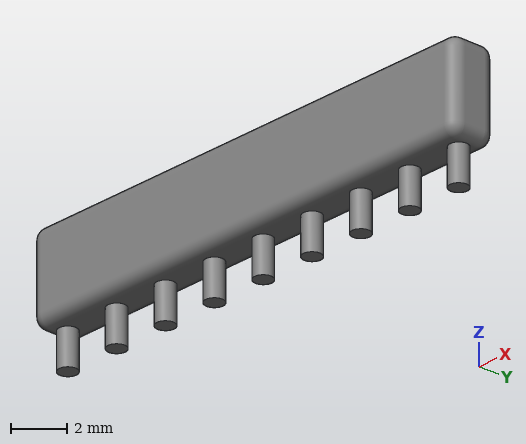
import cadquery as cq

body_length = 22.0
body_depth = 2.0
body_height = 4.0
edge_radius = 0.5

pin_count = 9
pin_row_span = 20.3
pin_pitch = pin_row_span / (pin_count - 1)
pin_diameter = 0.81
pin_length = 1.6


def make_body():
    """Block with every edge rounded except the upright one at the left rear."""
    block = cq.Workplane("XY").box(body_length, body_depth, body_height, centered=(True, True, False))
    left_rear_edge = block.edges("|Z").edges("<X").edges(">Y").val()
    rounded_edges = [edge for edge in block.edges().vals() if not edge.isSame(left_rear_edge)]
    return block.newObject(rounded_edges).fillet(edge_radius)


def make_pins():
    """Row of round pins that start inside the body and hang below it."""
    return (
        cq.Workplane("XY")
        .workplane(offset=-pin_length)
        .rarray(pin_pitch, 0.22, pin_count, 1)
        .circle(pin_diameter / 2)
        .extrude(pin_length + body_height / 2)
    )


result = make_body().union(make_pins())